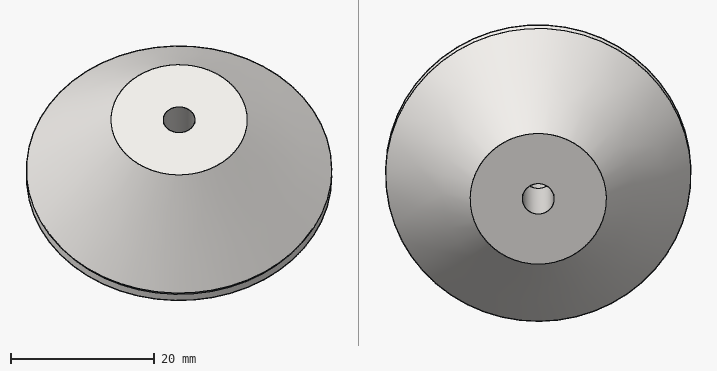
import cadquery as cq

outer_radius = 21.32
total_height = 25.4
bore_diameter = 4.45

groove_width = 1.8
groove_depth = 0.43

half_height = total_height / 2
rim_height = groove_width / 2
bore_radius = bore_diameter / 2

end_radius = outer_radius - (half_height - rim_height)


def conical_half(side):
    """One half with its through bore; side is +1 above the joint, -1 below it."""
    profile = [
        (bore_radius, 0),
        (outer_radius - groove_depth, 0),
        (outer_radius, side * rim_height),
        (end_radius, side * half_height),
        (bore_radius, side * half_height),
    ]
    return (
        cq.Workplane("XZ")
        .polyline(profile)
        .close()
        .revolve(360, (0, 0, 0), (0, 1, 0))
    )


upper_half = conical_half(1)
lower_half = conical_half(-1)

result = cq.Compound.makeCompound([upper_half.val(), lower_half.val()])